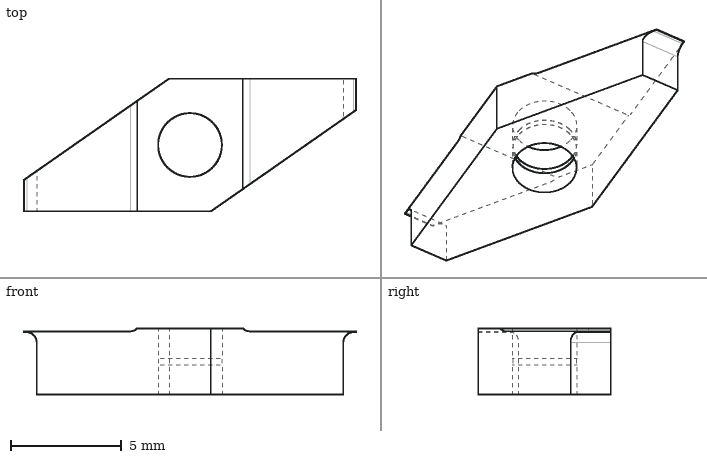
import cadquery as cq
import math

length = 15
width = 6
height = 3

end_width = 1.42
corner_x = 0.95

lip_thickness = 0.05
lip_overhang = 0.57
relief_radius = 0.45

raised_length = 4.77
step_height = 0.14
step_run = 0.32
floor_z = height - step_height
step_radius = (step_run**2 + step_height**2) / (2 * step_height)

hole_diameter = 2.9
waist_diameter = 2.86
waist_height = 0.3


def plan_prism():
    """Blunt-ended rhomboid extruded to the full height."""
    half_length = length / 2
    half_width = width / 2
    half_turn = [
        (-half_length, -half_width + end_width),
        (-half_length, -half_width),
        (corner_x, -half_width),
    ]
    opposite = [(-x, -y) for x, y in half_turn]
    return cq.Workplane("XY").polyline(half_turn + opposite).close().extrude(height)


def side_profile():
    """Side silhouette with lips, reliefs and raised middle, spanning the width."""
    tip_x = length / 2
    body_x = tip_x - lip_overhang
    lip_z = floor_z - lip_thickness
    relief_x = body_x + relief_radius
    relief_z = lip_z - relief_radius
    relief_offset = relief_radius * math.sqrt(0.5)
    relief_mid = (relief_x - relief_offset, relief_z + relief_offset)

    raised_x = raised_length / 2
    step_x = raised_x + step_run
    half_angle = math.asin(step_run / step_radius) / 2
    step_mid = (
        step_x - step_radius * math.sin(half_angle),
        floor_z + step_radius * (1 - math.cos(half_angle)),
    )

    half = (
        cq.Workplane("XZ")
        .moveTo(0, 0)
        .lineTo(body_x, 0)
        .lineTo(body_x, relief_z)
        .threePointArc(relief_mid, (relief_x, lip_z))
        .lineTo(tip_x, lip_z)
        .lineTo(tip_x, floor_z)
        .lineTo(step_x, floor_z)
        .threePointArc(step_mid, (raised_x, height))
        .lineTo(0, height)
        .close()
        .extrude(width / 2, both=True)
    )
    return half.union(half.mirror("YZ"))


def waisted_hole():
    """Vertical through hole, the same above and below its narrower waist."""
    waist = cq.Workplane("XY").circle(waist_diameter / 2).extrude(height)
    end_depth = (height - waist_height) / 2
    hole = waist
    for start_z in (0, height - end_depth):
        end_bore = cq.Workplane("XY", origin=(0, 0, start_z)).circle(hole_diameter / 2).extrude(end_depth)
        hole = hole.union(end_bore)
    return hole


result = plan_prism().intersect(side_profile()).cut(waisted_hole()).clean()